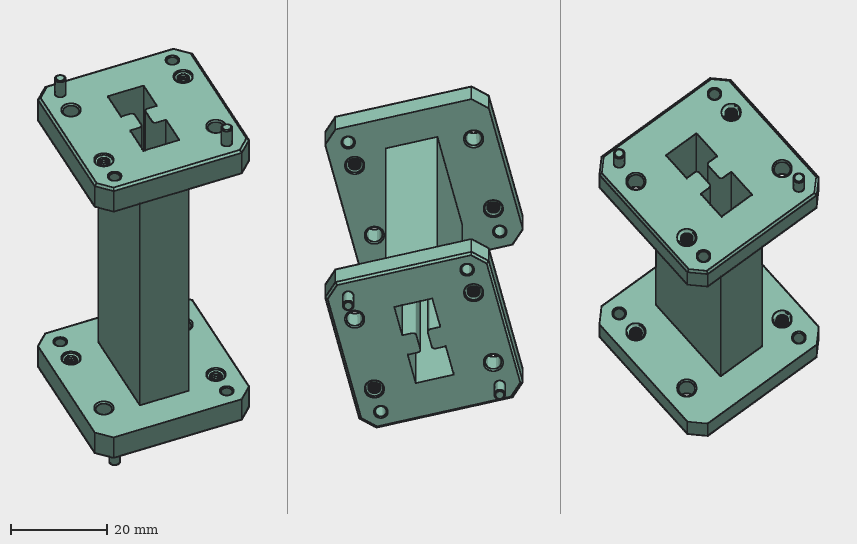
import cadquery as cq

total_height = 84.8
flange_side = 35.0
flange_thickness = 6.3
flange_corner = 3.0
flange_edge_chamfer = 0.5
pin_projection = 4.4
tube_width = 21.4
tube_depth = 11.1

guide_width = 18.3
guide_height = 8.1
ridge_width = 4.7
ridge_gap = 2.5
ridge_fillet = 0.7

pin_x = 13.9
fastener_y = 12.7
pin_diameter = 2.3
pin_chamfer = 0.25
pin_seat_depth = 4.2
pin_hole_radius = 1.2
pin_hole_rim_radius = 1.4

screw_x = 8.4
clearance_radius = 1.7
tapped_radius = 1.3
thread_radius = 1.8
screw_rim_radius = 2.0
thread_groove_count = 11

flange_face_z = total_height / 2 - pin_projection
flange_back_z = flange_face_z - flange_thickness


def revolved_cutter(profile, x, y):
    """Solid of revolution about a vertical axis at (x, y) from (radius, z) points."""
    cutter = cq.Workplane("XZ").polyline(profile).close().revolve(360, (0, 0), (0, 1))
    return cutter.translate((x, y, 0))


def chamfered_hole(x, y, radius, rim_radius):
    """Through-flange cutter with a 45 degree countersink at both faces."""
    flare = rim_radius - radius
    profile = [
        (0, flange_back_z),
        (rim_radius, flange_back_z),
        (radius, flange_back_z + flare),
        (radius, flange_face_z - flare),
        (rim_radius, flange_face_z),
        (0, flange_face_z),
    ]
    return revolved_cutter(profile, x, y)


def tapped_hole(x, y):
    """Countersunk hole whose thread is a stack of V-shaped ring grooves."""
    flare = screw_rim_radius - thread_radius
    pitch = (flange_thickness - 2 * flare) / thread_groove_count
    groove_z = flange_back_z + flare
    profile = [(0, flange_back_z), (screw_rim_radius, flange_back_z), (thread_radius, groove_z)]
    for _ in range(thread_groove_count):
        profile.append((tapped_radius, groove_z + pitch / 2))
        profile.append((thread_radius, groove_z + pitch))
        groove_z += pitch
    profile += [(screw_rim_radius, flange_face_z), (0, flange_face_z)]
    return revolved_cutter(profile, x, y)


def dowel_pin(x, y):
    """Pin seated in the flange and standing out of its outer face."""
    length = pin_seat_depth + pin_projection
    pin = cq.Workplane("XY").circle(pin_diameter / 2).extrude(length).faces(">Z").chamfer(pin_chamfer)
    return pin.translate((x, y, flange_face_z - pin_seat_depth))


def upper_flange():
    """Flange with pins and clearance holes on one diagonal, pin holes and tapped holes on the other."""
    flange = (
        cq.Workplane("XY", origin=(0, 0, flange_back_z))
        .rect(flange_side, flange_side)
        .extrude(flange_thickness)
        .edges("|Z")
        .chamfer(flange_corner)
        .faces(">Z")
        .chamfer(flange_edge_chamfer)
    )
    for side in (-1, 1):
        y = side * fastener_y
        flange = flange.cut(chamfered_hole(side * screw_x, y, clearance_radius, screw_rim_radius))
        flange = flange.cut(tapped_hole(-side * screw_x, y))
        flange = flange.cut(chamfered_hole(-side * pin_x, y, pin_hole_radius, pin_hole_rim_radius))
        flange = flange.union(dowel_pin(side * pin_x, y))
    return flange


def guide_opening():
    """Waveguide passage: a rectangle narrowed by two facing ridges."""
    passage = cq.Workplane("XY").box(guide_width, guide_height, total_height)
    ridge_height = (guide_height - ridge_gap) / 2
    for side in (-1, 1):
        ridge = cq.Workplane("XY").box(ridge_width, ridge_height, total_height)
        tip = "<Y" if side > 0 else ">Y"
        ridge = ridge.faces(tip).edges("|Z").fillet(ridge_fillet)
        passage = passage.cut(ridge.translate((0, side * (ridge_gap + ridge_height) / 2, 0)))
    return passage


tube = cq.Workplane("XY").box(tube_width, tube_depth, 2 * flange_back_z)
top = upper_flange()
bottom = top.rotate((0, 0, 0), (1, 0, 0), 180)
result = tube.union(top).union(bottom).cut(guide_opening())